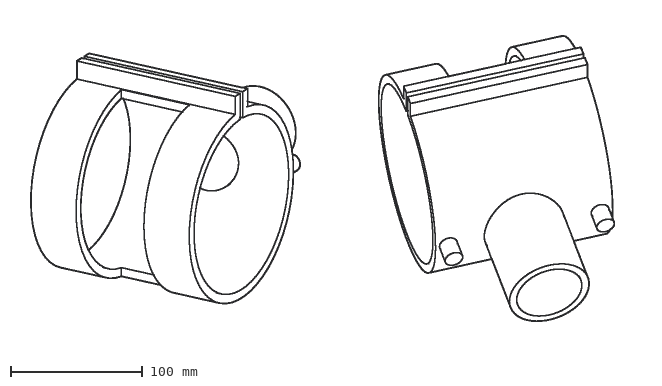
import cadquery as cq

width = 140.0
bore_radius = 69.9
wall = 7.0
ring_radius = bore_radius + wall

split_gap = 4.0
flange_thickness = wall
flange_top = 91.2

window_width = 59.9
window_back = -10.0

overall_length = 221.8
pipe_end = overall_length - ring_radius
pipe_diameter = 63.0
pipe_bore = 51.5
peg_end = 92.0
peg_diameter = 14.0
peg_offset = 59.9


def cylinder_along_y(diameter, end, x=0):
    """Solid cylinder from the ring axis to Y = end."""
    return cq.Workplane("XZ").center(x, 0).circle(diameter / 2).extrude(-end)


def cylinder_along_x(radius):
    return cq.Workplane("YZ").circle(radius).extrude(width / 2, both=True)


flange_span = split_gap + 2 * flange_thickness
flanges = cq.Workplane("XY").box(width, flange_span, flange_top, centered=(True, True, False))
body = cylinder_along_x(ring_radius).union(flanges)
body = body.union(cylinder_along_y(pipe_diameter, pipe_end))
for x in (-peg_offset, peg_offset):
    body = body.union(cylinder_along_y(peg_diameter, peg_end, x))

body = body.cut(cylinder_along_x(bore_radius))
body = body.cut(cylinder_along_y(pipe_bore, pipe_end))
split = cq.Workplane("XY").box(width, split_gap, flange_top, centered=(True, True, False))
body = body.cut(split)

window_depth = ring_radius + window_back
window = cq.Workplane("XY").box(window_width, window_depth, 2 * ring_radius)
window = window.translate((0, window_back - window_depth / 2, 0))
result = body.cut(window)